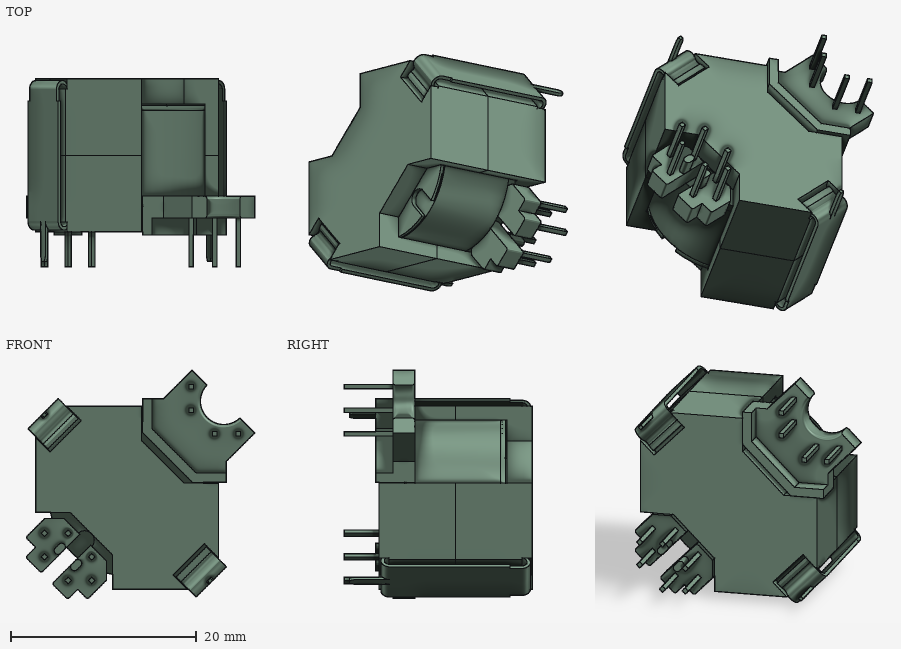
import cadquery as cq
import math

DIAGONAL = (1, 0, 1)
ACROSS = (-1, 0, 1)
ROOT_TWO = math.sqrt(2)

core_side = 19.7
core_half_height = 8.25
core_across_clips = 23.28
slot_face_distance = 5.45
slot_edge = 1.57
window_half_height = 5.5
window_radius = 8.5
post_radius = 4.25
recess_width = 4.75
recess_inner = 9.36
recess_floor = 7.15
recess_fillet = 0.4

tube_inner_radius = 4.35
tube_outer_radius = 5.1
flange_radius = 8.4
flange_outer_y = 5.35
rear_flange_inner_y = 4.8
rear_flange_fillet = 0.25
front_flange_inner_y = -4.4
plate_front_y = -6.75
rim_front_y = -8.6
notch_radius = 1.03
notch_centre = 6.46

pin_side = 0.5
pin_end_y = -12.0
pin_pitch = 2.54

block_edge = 1.66
block_far_edge = 10.66
block_face_distance = 6.14
block_tip_distance = 14.65
block_tip_half_width = 4.78
rim_width = 1.0
wire_hole_centre = 14.7
wire_hole_radius = 2.5
wire_hole_fillet = 0.35
upper_pin_start = 6.88

leg_inner_distance = 6.38
leg_edge = 2.2
leg_half_width = 4.7
leg_step_half_width = 3.2
leg_short_end = 10.73
leg_long_end = 12.24
leg_corner_radius = 0.25
leg_slot_width = 1.66
lower_pin_start = 1.5 * pin_pitch
nub_distance = 9.0
nub_offset = 1.25
nub_length = 1.36
nub_width = 0.8

clip_width = 4.6
clip_rear_width = 4.1
clip_rear_step_y = 5.85
clip_thickness = 0.38
clip_outer = 12.8
clip_end_y = 8.05
clip_bend_radius = 0.95
hook_dip_start = 11.17
hook_lip_start = 10.48
hook_lip_end = 10.15
hook_tip = 9.75
hook_lip_rise = 0.1
hook_shoulder_drop = 0.4
tongue_width = 0.7
tongue_tip_width = 0.4
tongue_taper = 0.5
tongue_end_y = -11.42


def square_plane(y):
    """Plane at the given y: X right, Z up, extruding towards the front."""
    return cq.Workplane("XZ", origin=(0, y, 0))


def diagonal_plane(y):
    """Like square_plane, turned 45 degrees: along the slots first, then towards the upper-left clip."""
    return cq.Workplane(cq.Plane((0, y, 0), DIAGONAL, (0, -1, 0)))


def slab(outline, y_rear, y_front):
    """Extrude a closed outline drawn on a plane at y_rear to y_front."""
    return outline.extrude(y_rear - y_front)


def disc(radius, y_rear, y_front):
    return slab(square_plane(y_rear).circle(radius), y_rear, y_front)


def half_turn(body):
    return body.rotate((0, 0, 0), (0, 1, 0), 180)


def slot_prism():
    """Prism that opens the core window at the upper-right corner."""
    corner = slot_face_distance * ROOT_TWO - slot_edge
    outside = core_side
    outline = square_plane(core_half_height).polyline([
        (slot_edge, outside),
        (slot_edge, corner),
        (corner, slot_edge),
        (outside, slot_edge),
        (outside, outside),
    ]).close()
    return slab(outline, core_half_height, -core_half_height)


def front_core_half():
    half = slab(square_plane(0).rect(core_side, core_side), 0, -core_half_height)
    chamfered = diagonal_plane(0).rect(2 * core_side, core_across_clips)
    half = half.intersect(slab(chamfered, 0, -core_half_height))
    window = disc(window_radius, 0, -window_half_height).cut(disc(post_radius, 0, -window_half_height))
    half = half.cut(window).cut(slot_prism()).cut(half_turn(slot_prism()))
    recess_length = core_side - recess_inner
    recess_centre = recess_inner + recess_length / 2
    recess = diagonal_plane(-recess_floor).center(0, recess_centre).rect(recess_width, recess_length)
    recess = slab(recess, -recess_floor, -core_half_height)
    floor_edge = cq.selectors.NearestToPointSelector(
        (-recess_inner / ROOT_TWO, -recess_floor, recess_inner / ROOT_TWO)
    )
    recess = recess.edges(floor_edge).fillet(recess_fillet)
    return half.cut(recess).cut(half_turn(recess))


def wire_notch(y_rear, y_front):
    """Round-ended notch at the lower-left slot, for cutting from a flange."""
    channel_length = flange_radius
    cutter = diagonal_plane(y_rear).center(-notch_centre, 0).circle(notch_radius)
    channel = diagonal_plane(y_rear).center(-notch_centre - channel_length / 2, 0)
    channel = channel.rect(channel_length, 2 * notch_radius)
    return slab(cutter, y_rear, y_front).union(slab(channel, y_rear, y_front))


def spool():
    rear_flange = disc(flange_radius, flange_outer_y, rear_flange_inner_y)
    rear_flange = rear_flange.edges("<Y").fillet(rear_flange_fillet)
    front_flange = disc(flange_radius, front_flange_inner_y, -flange_outer_y)
    body = disc(tube_outer_radius, flange_outer_y, -flange_outer_y)
    body = body.union(rear_flange.cut(wire_notch(flange_outer_y, rear_flange_inner_y)))
    body = body.union(front_flange.cut(wire_notch(front_flange_inner_y, -flange_outer_y)))
    return body.cut(disc(tube_inner_radius, flange_outer_y, -flange_outer_y))


def pins(points, plane):
    return slab(plane.pushPoints(points).rect(pin_side, pin_side), front_flange_inner_y, pin_end_y)


def upper_block():
    """One-piece terminal block with a round wire opening, a raised rim and four pins."""
    corner = block_face_distance * ROOT_TWO - block_edge
    tip_near = (block_tip_distance - block_tip_half_width) / ROOT_TWO
    tip_far = (block_tip_distance + block_tip_half_width) / ROOT_TWO
    flank = block_far_edge - block_tip_half_width * ROOT_TWO
    outline = [
        (block_edge, block_far_edge),
        (block_edge, corner),
        (corner, block_edge),
        (block_far_edge, block_edge),
        (block_far_edge, flank),
        (tip_far, tip_near),
        (tip_near, tip_far),
        (flank, block_far_edge),
    ]
    start = front_flange_inner_y
    plate = slab(square_plane(start).polyline(outline).close(), start, plate_front_y)

    opening = diagonal_plane(start).center(wire_hole_centre, 0).circle(wire_hole_radius)
    plate = plate.cut(slab(opening, start, plate_front_y))
    plate = plate.edges("%CIRCLE").fillet(wire_hole_fillet)

    inner_edge = block_edge + rim_width
    inner_face_distance = block_face_distance + rim_width
    inner_corner = inner_face_distance * ROOT_TWO - inner_edge
    rim = square_plane(plate_front_y).polyline([
        (block_edge, block_far_edge),
        (block_edge, corner),
        (corner, block_edge),
        (block_far_edge, block_edge),
        (block_far_edge, inner_edge),
        (inner_corner, inner_edge),
        (inner_edge, inner_corner),
        (inner_edge, block_far_edge),
    ]).close()
    plate = plate.union(slab(rim, plate_front_y, rim_front_y))

    near, middle, far = [upper_pin_start + pin_pitch * step for step in range(3)]
    points = [(near, far), (near, middle), (middle, near), (far, near)]
    return plate.union(pins(points, square_plane(start)))


def lower_leg(side):
    """Stepped leg beside the wire slot of the lower block, with its nub; side is 1 or -1."""
    start = front_flange_inner_y
    half_slot = leg_slot_width / 2
    edge_sum = leg_edge * ROOT_TWO
    outline = diagonal_plane(start).polyline([
        (-leg_inner_distance, side * half_slot),
        (-leg_inner_distance, side * (leg_inner_distance - edge_sum)),
        (-leg_half_width - edge_sum, side * leg_half_width),
        (-leg_short_end, side * leg_half_width),
        (-leg_short_end, side * leg_step_half_width),
        (-leg_long_end, side * leg_step_half_width),
        (-leg_long_end, side * half_slot),
    ]).close()
    leg = slab(outline, start, plate_front_y)
    end_corners = [
        (leg_short_end, leg_half_width),
        (leg_long_end, leg_step_half_width),
        (leg_long_end, half_slot),
    ]
    for along, across in end_corners:
        x = (-along - side * across) / ROOT_TWO
        z = (-along + side * across) / ROOT_TWO
        corner = cq.selectors.NearestToPointSelector((x, (start + plate_front_y) / 2, z))
        leg = leg.edges("|Y").edges(corner).fillet(leg_corner_radius)
    nub = diagonal_plane(plate_front_y).center(-nub_distance, side * nub_offset)
    nub = nub.slot2D(nub_length, nub_width)
    return leg.union(slab(nub, plate_front_y, rim_front_y))


def lower_pins():
    near, middle, far = [-lower_pin_start - pin_pitch * step for step in range(3)]
    places = [(far, near), (middle, near), (far, middle), (near, middle), (middle, far), (near, far)]
    diagonal_places = [((x + z) / ROOT_TWO, (z - x) / ROOT_TWO) for x, z in places]
    return pins(diagonal_places, diagonal_plane(front_flange_inner_y))


def clip_side_plane():
    """Plane through the core axis: away from the axis towards the clip, then Y."""
    return cq.Workplane(cq.Plane((0, 0, 0), ACROSS, (-1, 0, -1)))


def clip_strip():
    """Bent strip of the clip: plate along Y with a hook at each end that springs onto the recess floor."""
    inner = clip_outer - clip_thickness
    inner_bend = clip_bend_radius - clip_thickness
    bend = clip_outer - clip_bend_radius
    bend_y = clip_bend_radius - clip_end_y
    outer_y = -clip_end_y
    inner_y = outer_y + clip_thickness
    dip_y = -recess_floor - clip_thickness
    shoulder_y = outer_y + hook_shoulder_drop
    lip_y = shoulder_y - hook_lip_rise
    shoulder_middle = (bend + hook_dip_start) / 2
    shoulder_middle_y = outer_y + hook_shoulder_drop / 4
    dip_middle = (hook_dip_start + hook_lip_start) / 2
    half = (
        clip_side_plane()
        .moveTo(clip_outer, 0)
        .lineTo(clip_outer, bend_y)
        .radiusArc((bend, outer_y), clip_bend_radius)
        .threePointArc((shoulder_middle, shoulder_middle_y), (hook_dip_start, shoulder_y))
        .threePointArc((dip_middle, dip_y), (hook_lip_start, shoulder_y))
        .lineTo(hook_lip_end, lip_y)
        .lineTo(hook_tip, lip_y)
        .lineTo(hook_tip, lip_y + clip_thickness)
        .lineTo(hook_lip_end, lip_y + clip_thickness)
        .lineTo(hook_lip_start, shoulder_y + clip_thickness)
        .threePointArc((dip_middle, -recess_floor), (hook_dip_start, shoulder_y + clip_thickness))
        .threePointArc((shoulder_middle, shoulder_middle_y + clip_thickness), (bend, inner_y))
        .radiusArc((inner, bend_y), -inner_bend)
        .lineTo(inner, 0)
        .close()
        .extrude(clip_width / 2, both=True)
    )
    return half.union(half.mirror("XZ"))


def clip_tongue():
    """Solder tongue that carries the plate on past the front bend to a tapered tip."""
    taper_y = tongue_end_y + tongue_taper
    root = cq.Plane((0, 0, 0), DIAGONAL, ACROSS)
    outline = cq.Workplane(root).workplane(offset=clip_outer).polyline([
        (-tongue_width / 2, 0),
        (tongue_width / 2, 0),
        (tongue_width / 2, taper_y),
        (tongue_tip_width / 2, tongue_end_y),
        (-tongue_tip_width / 2, tongue_end_y),
        (-tongue_width / 2, taper_y),
    ]).close()
    return outline.extrude(-clip_thickness)


def upper_left_clip():
    span = 2 * core_side
    rear = diagonal_plane(core_half_height).rect(clip_width, span)
    rear_middle = diagonal_plane(core_half_height).rect(clip_rear_width, span)
    rear_sides = slab(rear, core_half_height, clip_rear_step_y)
    rear_sides = rear_sides.cut(slab(rear_middle, core_half_height, clip_rear_step_y))
    return clip_strip().cut(rear_sides).union(clip_tongue())


front_core = front_core_half()
rear_core = front_core.mirror("XZ")
bobbin = spool().union(upper_block())
for side in (1, -1):
    bobbin = bobbin.union(lower_leg(side))
bobbin = bobbin.union(lower_pins())
winding = disc(flange_radius, rear_flange_inner_y, front_flange_inner_y)
winding = winding.cut(disc(tube_outer_radius, rear_flange_inner_y, front_flange_inner_y))
left_clip = upper_left_clip()
right_clip = half_turn(left_clip)

bodies = [front_core, rear_core, bobbin, winding, left_clip, right_clip]
result = cq.Compound.makeCompound([body.val() for body in bodies])